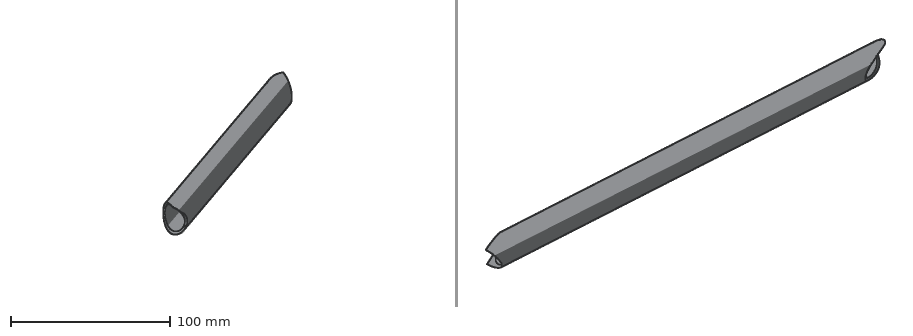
import cadquery as cq
import math

outer_radius = 10.0
wall_thickness = 1.6
inner_radius = outer_radius - wall_thickness

axis_fall_y = 0.5785
axis_rise_z = 0.0768

node_x = 252.54
node_z_offset = -1.62
main_cope_radius = 11.97
main_cope_angle = 16.8
main_cope_rise = -0.0735

side_cope_radius = 9.03
side_cope_point = cq.Vector(257.5, -138.6, 19.4)
side_cope_angle = 75.7
side_cope_rise = 0.024

end_allowance = 40.0
cope_reach = 80.0
side_cope_reach = 40.0


def rod(point, direction, radius, before, after):
    """Solid cylinder along a line, from `before` behind the point to `after` ahead of it."""
    unit = direction.normalized()
    cylinder = cq.Solid.makeCylinder(radius, before + after, point - unit * before, unit)
    return cq.Workplane(obj=cylinder)


def plan_direction(angle, rise):
    """Direction at an angle from +X in the XY plane, climbing by `rise` per unit of plan length."""
    radians = math.radians(angle)
    return cq.Vector(math.cos(radians), math.sin(radians), rise)


def blank_tube():
    """Straight tube that runs past both of its joints."""
    ahead = node.Length + end_allowance
    outside = rod(origin, axis, outer_radius, end_allowance, ahead)
    bore = rod(origin, axis, inner_radius, end_allowance, ahead)
    return outside.cut(bore)


def mirrored_tube_cope():
    """Cylinder of the tube's own size, mirrored in Y, that copes the -X end."""
    mirrored_axis = cq.Vector(1, axis_fall_y, axis_rise_z)
    return rod(origin, mirrored_axis, outer_radius, cope_reach, cope_reach)


def main_cope():
    """Cylinder that copes the whole +X end."""
    center = node + cq.Vector(0, 0, node_z_offset)
    direction = plan_direction(main_cope_angle, main_cope_rise)
    return rod(center, direction, main_cope_radius, cope_reach, cope_reach)


def side_cope():
    """Cylinder that hollows the far wall of the +X end."""
    direction = plan_direction(side_cope_angle, side_cope_rise)
    return rod(side_cope_point, direction, side_cope_radius, side_cope_reach, side_cope_reach)


origin = cq.Vector(0, 0, 0)
axis = cq.Vector(1, -axis_fall_y, axis_rise_z)
node = axis * node_x

coped = blank_tube().cut(mirrored_tube_cope()).cut(main_cope()).cut(side_cope())

result = cq.Workplane(obj=max(coped.solids().vals(), key=lambda piece: piece.Volume()))